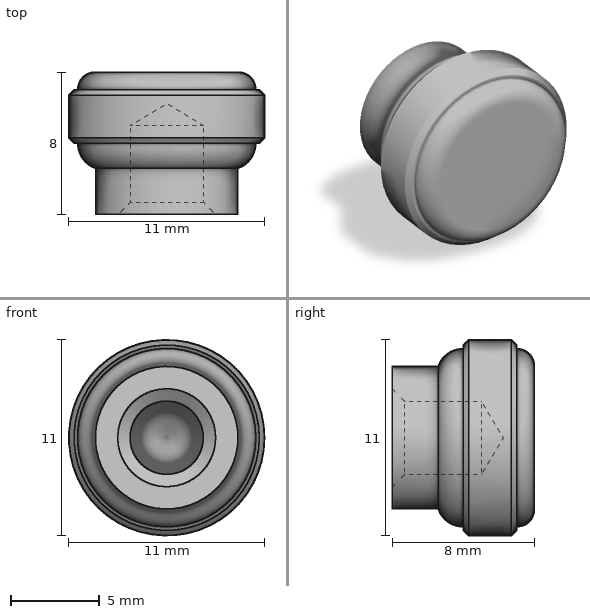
import cadquery as cq
import math

length = 8.0
flange_radius = 5.5
body_radius = 5.0
neck_radius = 4.0

flange_front = 4.0
flange_back = 7.0
flange_chamfer = 0.3

front_round = 1.5
back_round = length - flange_back

bore_radius = 2.06
mouth_radius = 2.75
bore_depth = 5.0
drill_point_angle = 118.0
countersink_depth = mouth_radius - bore_radius
point_depth = bore_radius / math.tan(math.radians(drill_point_angle / 2))

round_centre = body_radius - front_round
neck_end = flange_front - math.sqrt(front_round**2 - (neck_radius - round_centre)**2)


def arc_point(centre_radius, centre_y, radius, angle):
    """Point on a shoulder arc, as (distance from the axis, Y)."""
    turn = math.radians(angle)
    return (centre_radius + radius * math.cos(turn), centre_y + radius * math.sin(turn))


front_arc_middle = arc_point(round_centre, flange_front, front_round, -35)
back_arc_middle = arc_point(body_radius - back_round, flange_back, back_round, 45)

section = (
    cq.Workplane("XY")
    .moveTo(mouth_radius, 0)
    .lineTo(neck_radius, 0)
    .lineTo(neck_radius, neck_end)
    .threePointArc(front_arc_middle, (body_radius, flange_front))
    .lineTo(flange_radius - flange_chamfer, flange_front)
    .lineTo(flange_radius, flange_front + flange_chamfer)
    .lineTo(flange_radius, flange_back - flange_chamfer)
    .lineTo(flange_radius - flange_chamfer, flange_back)
    .lineTo(body_radius, flange_back)
    .threePointArc(back_arc_middle, (body_radius - back_round, length))
    .lineTo(0, length)
    .lineTo(0, bore_depth + point_depth)
    .lineTo(bore_radius, bore_depth)
    .lineTo(bore_radius, countersink_depth)
    .close()
)

result = section.revolve(360, (0, 0, 0), (0, 1, 0))